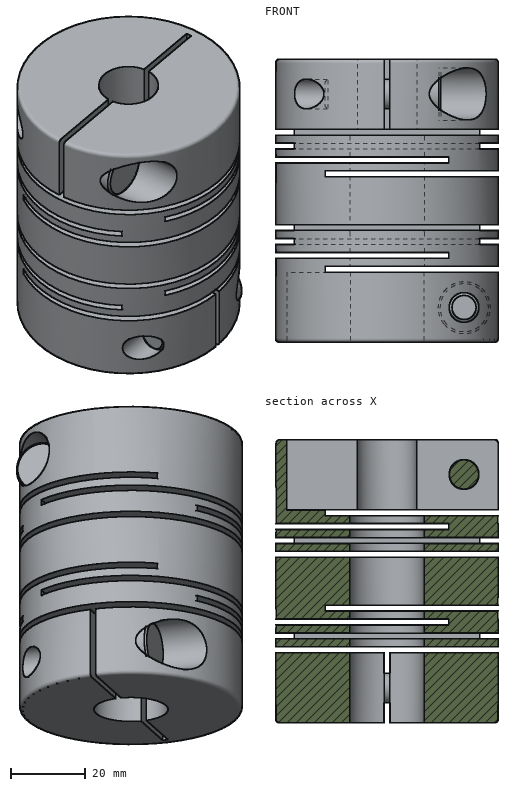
import cadquery as cq

length = 76.2
outer_dia = 60.0
edge_radius = 1.0

slot_height = 1.5
slot_pitch = 3.7
bridge_angles = (90, -90, 0, 180)
slot_reach = 16.6
hub_length = 18.9

upper_bore_dia = 16.0
lower_bore_dia = 20.0

clamp_gap = 1.5
clamp_gap_reach = 27.0
screw_offset = 20.7
screw_inset = 9.4
screw_dia = 8.0
screw_tip = -16.8
screw_tip_chamfer = 0.8
head_dia = 14.0
head_seat = 6.4
head_end = 14.4
head_chamfer = 0.5

outer_radius = outer_dia / 2
set_height = (len(bridge_angles) - 1) * slot_pitch + slot_height


def make_body():
    """Rounded cylinder with a narrow bore in the upper hub and a wider one below it."""
    body = cq.Workplane("XY").circle(outer_radius).extrude(length)
    body = body.faces("<Z or >Z").edges().fillet(edge_radius)
    upper_bore = cq.Workplane("XY").circle(upper_bore_dia / 2).extrude(length)
    lower_bore = cq.Workplane("XY").circle(lower_bore_dia / 2).extrude(length - hub_length)
    return body.cut(upper_bore).cut(lower_bore)


def flexing_slot(top, bridge_angle):
    """Slab below the height top that clears everything except the bridge."""
    slab = cq.Workplane("XY").box(
        outer_dia + slot_reach, 2 * outer_dia, slot_height, centered=(False, True, False)
    )
    slab = slab.translate((-outer_dia, 0, top - slot_height))
    return slab.rotate((0, 0, 0), (0, 0, 1), bridge_angle)


def rod(diameter, start, end):
    """Cylinder along X on the screw axis, with the axis at height zero."""
    return (
        cq.Workplane("YZ", origin=(start, 0, 0))
        .center(-screw_offset, 0)
        .circle(diameter / 2)
        .extrude(end - start)
    )


def cut_and_screw_clamp(body, hub_bottom, screw_height, turn):
    """Split one hub, bore it for its screw and fit the screw; turn is the angle about Z."""

    def place(shape, height):
        return shape.rotate((0, 0, 0), (0, 0, 1), turn).translate((0, 0, height))

    gap = cq.Workplane("XY").box(
        clamp_gap, outer_dia + clamp_gap_reach, hub_length, centered=(True, False, False)
    )
    gap = gap.translate((0, -outer_dia, 0))
    screw_hole = rod(screw_dia, -outer_dia, head_seat)
    counterbore = rod(head_dia, head_seat, outer_dia)
    shank = rod(screw_dia, screw_tip, head_seat).faces("<X").chamfer(screw_tip_chamfer)
    head = rod(head_dia, head_seat, head_end).faces(">X").chamfer(head_chamfer)

    body = body.cut(place(gap, hub_bottom))
    body = body.cut(place(screw_hole, screw_height)).cut(place(counterbore, screw_height))
    return body.union(place(shank.union(head), screw_height))


coupling = make_body()
for set_top in (length - hub_length, hub_length + set_height):
    for index, bridge_angle in enumerate(bridge_angles):
        coupling = coupling.cut(flexing_slot(set_top - index * slot_pitch, bridge_angle))
coupling = cut_and_screw_clamp(coupling, length - hub_length, length - screw_inset, 0)
coupling = cut_and_screw_clamp(coupling, 0, screw_inset, 90)
result = coupling